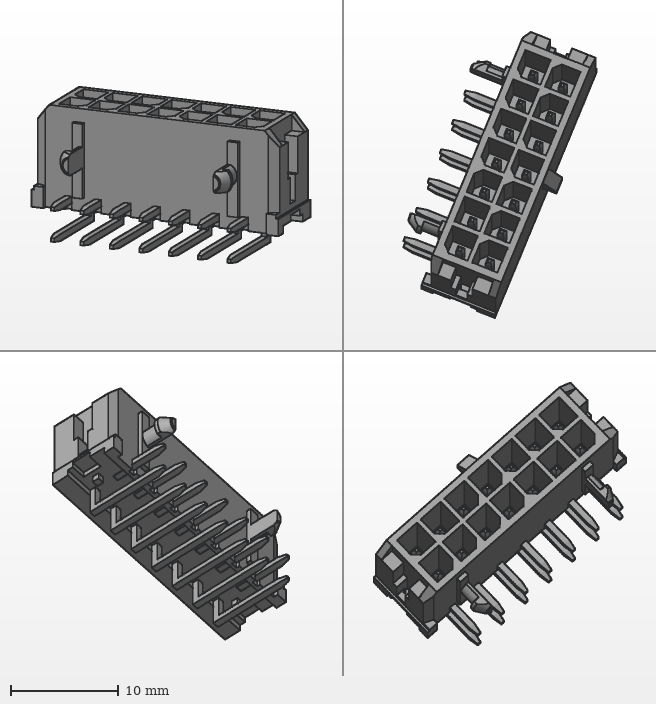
import cadquery as cq
import math


columns = 7
pitch = 3.0
row_y = pitch / 2
column_xs = [(i - (columns - 1) / 2) * pitch for i in range(columns)]

overall_length = 25.15
overall_depth = 11.95
overall_height = 12.24
housing_height = 9.92
housing_length = 24.65
core_length = 21.96
housing_depth = 6.90
front_y = -housing_depth / 2
back_y = housing_depth / 2
end_chamfer_height = 1.56
shoulder_z = housing_height - end_chamfer_height
flange_height = 1.67
foot_front_y = -3.92
foot_height = 2.05
foot_inner_x = 11.36
corner_bevel_depth = 0.40

back_rib_width = 0.76
front_rib_width = 1.06
slot_width = 2.18
slot_floor_z = 4.80
key_slot_width = 1.14
key_slot_floor_z = 2.28
retainer_length = 0.67
retainer_wide_length = 0.35
retainer_width = 0.84
retainer_depth = 0.80

cavity_size = 2.54
cavity_chamfer = 0.66
cavity_floor_z = 2.5
back_row_keys = ["L", "L", "R", "R", "L", "L", "L"]
front_row_keys = ["R", "R", "R", "R", "L", "", "R"]

channel_height = 0.73
channel_front_y = -2.77
channel_back_y = 1.63
tail_groove_depth = 0.35
pocket_height = 1.36
pocket_width = 2.06
post_size = 0.70
post_inset = 0.50

pin = 0.66
pin_end_y = -7.12
pin_tip_length = 1.0
pin_tip_size = 0.36
contact_tip_size = 0.28
contact_tip_length = 0.6
contact_top_z = 7.0
lower_tail_z = housing_height - overall_height + pin / 2
upper_tail_z = lower_tail_z + pitch
contact_row_y = 1.49
back_leg_y = channel_back_y - pin / 2

latch_width = 1.48
latch_y = pin_end_y + overall_depth
latch_top_z = 9.38
latch_nose_top_z = 7.75
latch_nose_bottom_z = 6.98
latch_fillet = 0.45

peg_face_x = 7.40
peg_axis_inset = 0.165
peg_axis_x = peg_face_x - peg_axis_inset
peg_z = 5.34
peg_height = 2.06
peg_radius = 1.13
barb_radius = 1.475
barb_start_y = -5.64
barb_cone_y = -6.02
nose_start_y = -7.03
nose_radius = 0.845
nose_end_radius = 0.715
bar_width = 1.03
bar_bottom_z = 1.36
bar_top_z = 8.58


def block(x0, x1, y0, y1, z0, z1):
    """Box given by its limits along each axis."""
    return cq.Workplane("XY").box(x1 - x0, y1 - y0, z1 - z0, centered=False).translate((x0, y0, z0))


def mirrored(shape):
    """The shape together with its mirror image across X = 0."""
    return shape.union(shape.mirror("YZ"))


def make_shell():
    """Outer housing with sloped shoulders, bevelled front corners, flange and feet."""
    half = housing_length / 2
    core_half = core_length / 2
    outline = [
        (-half, 0), (half, 0), (half, shoulder_z), (core_half, housing_height),
        (-core_half, housing_height), (-half, shoulder_z),
    ]
    shell = cq.Workplane("XZ").polyline(outline).close().extrude(housing_depth / 2, both=True)

    bevel = (
        cq.Workplane("XY").workplane(offset=foot_height)
        .polyline([(half, front_y), (foot_inner_x, front_y), (half, front_y + corner_bevel_depth)])
        .close().extrude(housing_height)
    )
    flange_half = overall_length / 2
    flange = block(-flange_half, flange_half, front_y, back_y, 0, flange_height)
    foot = block(foot_inner_x, half, foot_front_y, front_y, 0, foot_height)
    foot_lip = block(foot_inner_x, flange_half, foot_front_y, front_y, 0, flange_height)
    return shell.cut(mirrored(bevel)).union(flange).union(mirrored(foot.union(foot_lip)))


def make_end_recess():
    """Stepped recess cut into the +X end face, with a T-shaped retainer pocket in its floor."""
    wall_x = core_length / 2
    outer_x = overall_length / 2
    key_half = key_slot_width / 2
    retainer_half = retainer_width / 2
    retainer_z = key_slot_floor_z - retainer_depth
    top = block(wall_x, outer_x, front_y + front_rib_width, back_y - back_rib_width,
                shoulder_z, housing_height)
    slot = block(wall_x, outer_x, -slot_width / 2, slot_width / 2, slot_floor_z, housing_height)
    key = block(wall_x, outer_x, -key_half, key_half, key_slot_floor_z, slot_floor_z)
    retainer_bar = block(wall_x, wall_x + retainer_wide_length, -key_half, key_half,
                         retainer_z, key_slot_floor_z)
    retainer_stem = block(wall_x, wall_x + retainer_length, -retainer_half, retainer_half,
                          retainer_z, key_slot_floor_z)
    return top.union(slot).union(key).union(retainer_bar).union(retainer_stem)


def make_cavity(x, y, key):
    """Square contact cavity with an optional keyed corner on its -Y side."""
    half = cavity_size / 2
    cavity = block(x - half, x + half, y - half, y + half, cavity_floor_z, housing_height)
    if key:
        side = -1 if key == "L" else 1
        corner = (
            cq.Workplane("XY").workplane(offset=cavity_floor_z)
            .moveTo(x + side * half, y - half)
            .lineTo(x + side * (half - cavity_chamfer), y - half)
            .lineTo(x + side * half, y - half + cavity_chamfer)
            .close().extrude(housing_height - cavity_floor_z)
        )
        cavity = cavity.cut(corner)
    return cavity


def make_underside_cut():
    """Channel along the bottom, end pockets above it, and tail grooves in the front wall."""
    outer_x = overall_length / 2
    cut = block(-outer_x, outer_x, channel_front_y, channel_back_y, 0, channel_height)
    pocket = block(core_length / 2, outer_x, -pocket_width / 2, pocket_width / 2, 0, pocket_height)
    cut = cut.union(mirrored(pocket))
    for x in column_xs:
        cut = cut.union(block(x - pin / 2, x + pin / 2, front_y, front_y + tail_groove_depth,
                              0, upper_tail_z))
    return cut


def make_post():
    """Standoff post under the +X end of the housing core."""
    half = post_size / 2
    outer_x = core_length / 2 - post_inset
    return block(outer_x - post_size, outer_x, -half, half, 0, channel_height)


def make_tail(x, z, start_y):
    """Horizontal solder tail with a tapered tip, running toward -Y."""
    tip_y = pin_end_y + pin_tip_length
    half = pin / 2
    shank = block(x - half, x + half, tip_y, start_y, z - half, z + half)
    tip = (
        cq.Workplane("XZ", origin=(x, tip_y, z)).rect(pin, pin)
        .workplane(offset=pin_tip_length).rect(pin_tip_size, pin_tip_size).loft(ruled=True)
    )
    return shank.union(tip)


def make_pin(x, y, leg_y, tail_z):
    """Contact in its cavity, vertical leg under it and solder tail."""
    half = pin / 2
    taper_z = contact_top_z - contact_tip_length
    contact = block(x - half, x + half, y - half, y + half, upper_tail_z, taper_z)
    tip = (
        cq.Workplane("XY", origin=(x, y, taper_z)).rect(pin, pin)
        .workplane(offset=contact_tip_length).rect(contact_tip_size, contact_tip_size).loft(ruled=True)
    )
    leg = block(x - half, x + half, leg_y - half, leg_y + half, tail_z - half, cavity_floor_z)
    return contact.union(tip).union(leg).union(make_tail(x, tail_z, leg_y + half))


def make_latch():
    """Ramped latch on the back wall with a rounded inside corner below the nose."""
    bend = latch_fillet * math.sqrt(0.5)
    center_y = back_y + latch_fillet
    center_z = latch_nose_bottom_z - latch_fillet
    return (
        cq.Workplane("YZ").moveTo(back_y, latch_top_z)
        .lineTo(latch_y, latch_nose_top_z)
        .lineTo(latch_y, latch_nose_bottom_z)
        .lineTo(center_y, latch_nose_bottom_z)
        .threePointArc((center_y - bend, center_z + bend), (back_y, center_z))
        .close().extrude(latch_width / 2, both=True)
    )


def make_peg():
    """Flat-faced barbed board peg on its backing bar, on the +X side."""
    profile = [
        (0, front_y), (peg_radius, front_y), (peg_radius, barb_start_y),
        (barb_radius, barb_start_y), (barb_radius, barb_cone_y),
        (nose_radius, nose_start_y), (nose_end_radius, pin_end_y), (0, pin_end_y),
    ]
    peg = (
        cq.Workplane("XY").polyline(profile).close()
        .revolve(360, (0, 0, 0), (0, 1, 0)).translate((peg_axis_x, 0, peg_z))
    )
    envelope = block(peg_face_x, peg_face_x + 2 * barb_radius, pin_end_y, front_y,
                     peg_z - peg_height / 2, peg_z + peg_height / 2)
    bar = block(peg_face_x, peg_face_x + bar_width, foot_front_y, front_y, bar_bottom_z, bar_top_z)
    return peg.intersect(envelope).union(bar)


housing = make_shell().cut(mirrored(make_end_recess())).cut(make_underside_cut())
for x, back_key, front_key in zip(column_xs, back_row_keys, front_row_keys):
    housing = housing.cut(make_cavity(x, row_y, back_key))
    housing = housing.cut(make_cavity(x, -row_y, front_key))
housing = housing.union(mirrored(make_post())).union(make_latch()).union(mirrored(make_peg()))

for x in column_xs:
    housing = housing.union(make_pin(x, contact_row_y, back_leg_y, lower_tail_z))
    housing = housing.union(make_pin(x, -contact_row_y, -contact_row_y, upper_tail_z))

result = housing